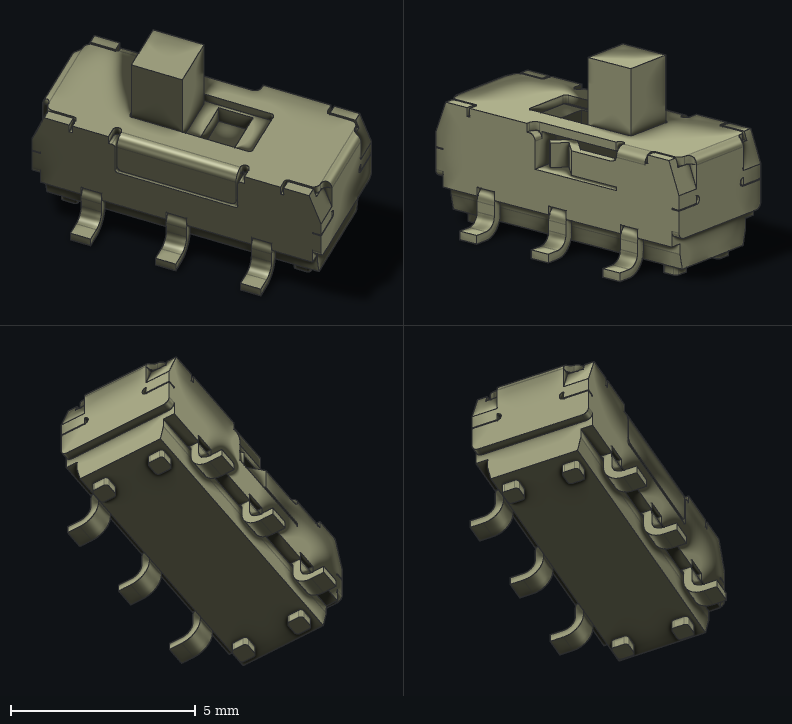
import cadquery as cq
import math

OVERCUT = 0.1

cover_half_x = 4.25
cover_half_y = 1.75
sheet = 0.25
cover_top = 3.5
cover_bottom = 1.05
sheet_under = cover_top - sheet

end_tab_bottom = 1.3
end_tab_corner = 0.2
end_bend_radius = 0.25
end_bend_half_y = 1.0
flap_slope_bottom = 2.57
flap_slope_run = 0.35
end_slit_bottom = 2.125
end_slit_height = 0.03
relief_radius = 0.125

flap_inner_y = 1.46
groove_inner_y = 1.4
slit_outer_x = 3.15
slit_inner_x = 3.06
roof_corner_radius = 0.2
slit_corner_radius = 0.1
bend_root_radius = groove_inner_y - roof_corner_radius - end_bend_half_y

side_bend_radius = 0.3
tongue_half_x = 1.75
tongue_bottom = 2.35
tongue_corner = 0.15
window_half_x = 1.8
window_bottom = 2.25
window_corner = 0.08
window_edge_round = 0.1
notch_width = 0.25
notch_depth = 0.43

spring_root_x = -2.06
spring_bend_x = -0.5
spring_tip_x = 0.0
spring_end_x = 0.36
spring_root_radius = 0.2
spring_top = sheet_under - spring_root_radius
spring_pocket_end_x = 0.78
spring_pocket_round = 0.2
roof_recess_end_x = 1.06
roof_recess_corner = 0.2

base_half_x = cover_half_x - sheet
base_half_y = 1.4
base_foot_half_y = 1.3
base_taper_top = 0.75
base_bottom = 0.3
peg_size = 0.5
peg_corner = 0.1
peg_x = 3.42
peg_y = 0.9

lead_pitch = 2.5
lead_width = 0.6
lead_thickness = 0.25
lead_tip_y = 2.5
lead_shoulder_radius = 0.4
lead_shoulder_top = 1.3
lead_foot_radius = 0.35

stem_size = 1.5
stem_x = -1.0
stem_top = 5.4
opening_half_x = 1.8
opening_half_y = 0.8
opening_corner = 0.1
slide_half_x = 2.9
slide_half_y = 0.85
slide_top = 3.2
slide_bottom = 2.2
slide_travel = 2.0
slide_pocket_x = (0.18, 1.19)
slide_pocket_depth = 0.5


def block(x0, x1, y0, y1, z0, z1):
    """Box between two opposite corners."""
    return cq.Workplane("XY").box(x1 - x0, y1 - y0, z1 - z0, centered=False).translate((x0, y0, z0))


def at_four_corners(shape):
    """The shape of the +X +Y corner and its copies in the other three corners."""
    right_front = shape.mirror("XZ")
    return mirrored_pair(shape, "YZ") + mirrored_pair(right_front, "YZ")


def mirrored_pair(shape, plane):
    """A shape and its mirror image."""
    return [shape.val(), shape.mirror(plane).val()]


def cut_all(body, cutters):
    for cutter in cutters:
        body = body.cut(cq.Workplane(cutter))
    return body


def union_all(body, parts):
    for part in parts:
        body = body.union(cq.Workplane(part))
    return body


def cover_block():
    """Cover envelope: the main box, and end tabs with rounded lower corners and a bent top edge."""
    main = block(-base_half_x, base_half_x, -cover_half_y, cover_half_y, cover_bottom, cover_top)
    ends = block(-cover_half_x, cover_half_x, -cover_half_y, cover_half_y, end_tab_bottom, cover_top)
    ends = ends.edges("|X and <Z").fillet(end_tab_corner)
    ends = ends.edges("|Y and >Z").fillet(end_bend_radius)
    return main.union(ends)


def base():
    """Plastic base below the cover, tapering in toward its foot."""
    half = [(base_half_y, cover_bottom), (base_half_y, base_taper_top), (base_foot_half_y, base_bottom)]
    outline = half + [(-y, z) for y, z in reversed(half)]
    return cq.Workplane("YZ").polyline(outline).close().extrude(base_half_x, both=True)


def peg():
    post = cq.Workplane("XY").center(peg_x, peg_y).rect(peg_size, peg_size).extrude(base_bottom)
    return post.edges("|Z").fillet(peg_corner)


def flap_slope():
    """Wedge off the outer upper corner of a flap; its upper part stops at the groove."""
    wedge = (
        cq.Workplane("XZ", origin=(0, end_bend_half_y, 0))
        .moveTo(cover_half_x, flap_slope_bottom)
        .lineTo(cover_half_x + OVERCUT, flap_slope_bottom)
        .lineTo(cover_half_x + OVERCUT, cover_top)
        .lineTo(cover_half_x - flap_slope_run, cover_top)
        .close()
        .extrude(end_bend_half_y - cover_half_y)
    )
    roof_side = block(0, cover_half_x + OVERCUT, 0, groove_inner_y, sheet_under, cover_top + OVERCUT)
    return wedge.cut(roof_side)


def roof_groove():
    """Groove through the roof sheet, from the end bend around the flap to the side face."""
    end_x = cover_half_x + OVERCUT
    side_y = cover_half_y + OVERCUT
    return (
        cq.Workplane("XY", origin=(0, 0, sheet_under))
        .moveTo(end_x, end_bend_half_y)
        .lineTo(base_half_x + bend_root_radius, end_bend_half_y)
        .tangentArcPoint((base_half_x, end_bend_half_y + bend_root_radius), relative=False)
        .tangentArcPoint((base_half_x - roof_corner_radius, groove_inner_y), relative=False)
        .lineTo(slit_inner_x + slit_corner_radius, groove_inner_y)
        .tangentArcPoint((slit_inner_x, groove_inner_y + slit_corner_radius), relative=False)
        .lineTo(slit_inner_x, side_y)
        .lineTo(slit_outer_x, side_y)
        .lineTo(slit_outer_x, flap_inner_y)
        .lineTo(end_x, flap_inner_y)
        .close()
        .extrude(sheet + OVERCUT)
    )


def end_slit():
    """Thin slit between flap and end tab, ending in a half-round relief hole."""
    slit = block(base_half_x, cover_half_x, end_bend_half_y, cover_half_y,
                 end_slit_bottom, end_slit_bottom + end_slit_height)
    relief = (
        cq.Workplane("YZ", origin=(base_half_x, 0, 0))
        .moveTo(end_bend_half_y, end_slit_bottom)
        .threePointArc(
            (end_bend_half_y - relief_radius, end_slit_bottom + relief_radius),
            (end_bend_half_y, end_slit_bottom + 2 * relief_radius),
        )
        .close()
        .extrude(sheet)
    )
    return slit.union(relief)


def side_bend(x0, x1):
    """Corner taken off the +Y top edge where a tongue bends down from the roof."""
    axis_y = cover_half_y - side_bend_radius
    axis_z = cover_top - side_bend_radius
    corner = block(x0, x1, axis_y, cover_half_y, axis_z, cover_top)
    bend = cq.Workplane("YZ", origin=(x0, axis_y, axis_z)).circle(side_bend_radius).extrude(x1 - x0)
    return corner.cut(bend)


def relief_notch(x0, bottom=sheet_under):
    """Round-ended notch down through the roof sheet beside a tongue, open to the +Y side."""
    radius = notch_width / 2
    axis_y = cover_half_y - notch_depth + radius
    notch = block(x0, x0 + notch_width, axis_y, cover_half_y, bottom, cover_top)
    round_end = cq.Workplane("XY", origin=(x0 + radius, axis_y, bottom)).circle(radius)
    round_end = round_end.extrude(cover_top - bottom)
    return notch.union(round_end)


def shoulder_round(edge_x, radius, y0):
    """Rounds the ledge under the roof sheet whose edge at edge_x faces -X, from y0 to the +Y side."""
    corner = block(edge_x, edge_x + radius, y0, cover_half_y, sheet_under - radius, sheet_under)
    roll = (
        cq.Workplane("XZ", origin=(edge_x + radius, y0, sheet_under - radius))
        .circle(radius)
        .extrude(y0 - cover_half_y)
    )
    return corner.cut(roll)


def tongue_gap():
    """Gap around the tongue in the front window, as deep as the relief notches."""
    front = -cover_half_y
    back = front + notch_depth
    window = block(-window_half_x, window_half_x, front, back, window_bottom, sheet_under)
    window = window.edges("|Y and <Z").fillet(window_corner)
    tongue = block(-tongue_half_x, tongue_half_x, front, back, tongue_bottom, sheet_under)
    tongue = tongue.edges("|Y and <Z").fillet(tongue_corner)
    return window.cut(tongue)


def cut_front_tongue(body):
    edge_round = shoulder_round(window_half_x, window_edge_round, cover_half_y - notch_depth)
    edge_round = edge_round.intersect(relief_notch(tongue_half_x, sheet_under - window_edge_round))
    body = body.cut(tongue_gap())
    body = body.cut(side_bend(-tongue_half_x, tongue_half_x).mirror("XZ"))
    for cutter in (relief_notch(tongue_half_x), edge_round):
        body = cut_all(body, mirrored_pair(cutter.mirror("XZ"), "YZ"))
    return body


def cut_back_recess(body):
    """Bent spring root, roof recess and the pocket in which the detent spring moves."""
    notch_middle_x = spring_root_x + notch_width / 2
    recess_y = cover_half_y - side_bend_radius
    roof_recess = block(notch_middle_x, roof_recess_end_x, recess_y, cover_half_y, sheet_under, cover_top)
    roof_recess = roof_recess.edges("|Z and >X and <Y").fillet(roof_recess_corner)
    pocket = block(spring_root_x, spring_pocket_end_x, slide_half_y, cover_half_y, window_bottom, sheet_under)
    return cut_all(body, [
        side_bend(-slit_inner_x, spring_root_x).val(),
        relief_notch(spring_root_x).val(),
        roof_recess.val(),
        pocket.val(),
        shoulder_round(spring_pocket_end_x, spring_pocket_round, recess_y).val(),
    ])


def detent_spring():
    """Spring finger running along the back wall, then folded into a 45 degree V."""
    outer_y = cover_half_y
    inner_y = cover_half_y - sheet
    leg_step = sheet / math.sqrt(2)
    fold_shift = sheet * math.tan(math.pi / 8)
    tip_y = outer_y - (spring_tip_x - spring_bend_x)
    end_y = tip_y + (spring_end_x - spring_tip_x)
    outline = [
        (spring_root_x, outer_y),
        (spring_bend_x, outer_y),
        (spring_tip_x, tip_y),
        (spring_end_x, end_y),
        (spring_end_x + leg_step, end_y - leg_step),
        (spring_tip_x, tip_y - 2 * leg_step),
        (spring_bend_x - fold_shift, inner_y),
        (spring_root_x, inner_y),
    ]
    finger = (
        cq.Workplane("XY", origin=(0, 0, tongue_bottom))
        .polyline(outline)
        .close()
        .extrude(spring_top - tongue_bottom)
    )
    root = block(spring_root_x, spring_root_x + spring_root_radius, inner_y, outer_y, spring_top, sheet_under)
    hollow_x = spring_root_x + spring_root_radius
    hollow = (
        cq.Workplane("XZ", origin=(hollow_x, inner_y, sheet_under))
        .circle(spring_root_radius)
        .extrude(-sheet)
    )
    return finger.union(root.cut(hollow))


def lead_slot(x):
    """Slot in the lower edge of the +Y cover wall where a lead comes out."""
    return block(x - lead_width / 2, x + lead_width / 2, cover_half_y - lead_shoulder_radius,
                 cover_half_y, cover_bottom, lead_shoulder_top)


def lead(x):
    """Gull-wing lead on the +Y side: rounded shoulder, straight leg, bend and flat foot."""
    outer_y = cover_half_y
    inner_y = cover_half_y - lead_thickness
    shoulder_y = cover_half_y - lead_shoulder_radius
    shoulder_z = lead_shoulder_top - lead_shoulder_radius
    foot_bend_y = cover_half_y + lead_foot_radius
    foot_bend_z = lead_thickness + lead_foot_radius
    return (
        cq.Workplane("YZ", origin=(x - lead_width / 2, 0, 0))
        .moveTo(shoulder_y - OVERCUT, lead_shoulder_top)
        .lineTo(shoulder_y, lead_shoulder_top)
        .tangentArcPoint((outer_y, shoulder_z), relative=False)
        .lineTo(outer_y, foot_bend_z)
        .tangentArcPoint((foot_bend_y, lead_thickness), relative=False)
        .lineTo(lead_tip_y, lead_thickness)
        .lineTo(lead_tip_y, 0)
        .lineTo(foot_bend_y, 0)
        .tangentArcPoint((inner_y, foot_bend_z), relative=False)
        .lineTo(inner_y, shoulder_z)
        .tangentArcPoint((shoulder_y, lead_shoulder_top - lead_thickness), relative=False)
        .lineTo(shoulder_y - OVERCUT, lead_shoulder_top - lead_thickness)
        .close()
        .extrude(lead_width)
    )


def slide_cavity():
    """Roof opening for the stem and the channel in which the slide travels."""
    opening = block(-opening_half_x, opening_half_x, -opening_half_y, opening_half_y, sheet_under, cover_top)
    opening = opening.edges("|Z").fillet(opening_corner)
    reach = slide_half_x + slide_travel / 2
    channel = block(-reach, reach, -slide_half_y, slide_half_y, slide_bottom, sheet_under)
    return opening.union(channel)


def build_housing():
    body = cover_block()
    for cutter in (flap_slope(), roof_groove(), end_slit()):
        body = cut_all(body, at_four_corners(cutter))
    body = cut_front_tongue(body)
    body = cut_back_recess(body)
    body = body.union(base())
    body = union_all(body, at_four_corners(peg()))
    body = body.cut(slide_cavity())
    body = body.union(detent_spring())
    for x in (-lead_pitch, 0, lead_pitch):
        body = cut_all(body, mirrored_pair(lead_slot(x), "XZ"))
        body = union_all(body, mirrored_pair(lead(x), "XZ"))
    return body


def build_slider():
    """Flat slide under the roof with a pocket in its top, and the square stem that moves it."""
    slide = block(stem_x - slide_half_x, stem_x + slide_half_x, -slide_half_y, slide_half_y,
                  slide_bottom, slide_top)
    pocket = block(*slide_pocket_x, -stem_size / 2, stem_size / 2, slide_top - slide_pocket_depth, slide_top)
    stem = block(stem_x - stem_size / 2, stem_x + stem_size / 2, -stem_size / 2, stem_size / 2,
                 slide_top, stem_top)
    return slide.cut(pocket).union(stem)


housing = build_housing()
slider = build_slider()
result = cq.Compound.makeCompound([housing.solids().val(), slider.solids().val()])